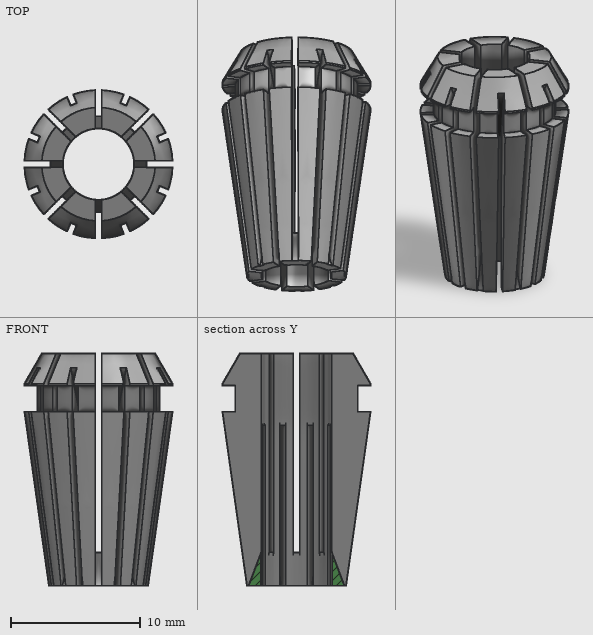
import cadquery as cq
import math

height = 18.0
outer_radius = 11.5 / 2
bore_radius = 5.5 / 2

body_height = 13.5
body_half_angle = 8.0
body_small_radius = outer_radius - body_height * math.tan(math.radians(body_half_angle))

groove_width = 2.0
neck_radius = 9.5 / 2
rim_height = 0.15
nose_half_angle = 30.0
rim_bottom_z = body_height + groove_width
rim_top_z = rim_bottom_z + rim_height
nose_slope = math.tan(math.radians(nose_half_angle))
nose_radius = outer_radius - (height - rim_top_z) * nose_slope

slots_per_end = 8
slot_width = 0.5
slot_pitch = 360.0 / slots_per_end

lower_web_height = 2.6
lower_web_radius = 3.73
upper_slot_top_z = 16.9
upper_web_radius = outer_radius - (upper_slot_top_z - rim_top_z) * nose_slope
upper_web_half_angle = 27.0
upper_web_slope = math.tan(math.radians(upper_web_half_angle))
upper_web_bottom_z = upper_slot_top_z - (upper_web_radius - bore_radius) / upper_web_slope

clearance = 1.0
cutter_radius = outer_radius + clearance


def revolve_profile(points):
    """Revolve a closed (radius, z) profile around the Z axis."""
    return cq.Workplane("XZ").polyline(points).close().revolve(360, (0, 0, 0), (0, 1, 0))


def make_blank():
    return revolve_profile([
        (bore_radius, 0),
        (body_small_radius, 0),
        (outer_radius, body_height),
        (neck_radius, body_height),
        (neck_radius, rim_bottom_z),
        (outer_radius, rim_bottom_z),
        (outer_radius, rim_top_z),
        (nose_radius, height),
        (bore_radius, height),
    ])


def make_top_slot_envelope():
    """Region swept by the slots open at the nose: everything outside the lower conical web."""
    return revolve_profile([
        (lower_web_radius, 0),
        (cutter_radius, 0),
        (cutter_radius, height),
        (0, height),
        (0, lower_web_height),
        (bore_radius, lower_web_height),
    ])


def make_bottom_slot_envelope():
    """Region swept by the slots open at the small end: everything outside the upper conical web."""
    return revolve_profile([
        (0, 0),
        (cutter_radius, 0),
        (cutter_radius, upper_slot_top_z),
        (upper_web_radius, upper_slot_top_z),
        (bore_radius, upper_web_bottom_z),
        (0, upper_web_bottom_z),
    ])


def cut_slots(part, envelope, first_angle):
    """Cut evenly spaced radial slots, each limited to the given envelope."""
    blade = (
        cq.Workplane("XY")
        .box(cutter_radius, slot_width, height, centered=(False, True, False))
    )
    for index in range(slots_per_end):
        angle = first_angle + index * slot_pitch
        slot = blade.rotate((0, 0, 0), (0, 0, 1), angle).intersect(envelope)
        part = part.cut(slot)
    return part


collet = make_blank()
collet = cut_slots(collet, make_top_slot_envelope(), 0)
collet = cut_slots(collet, make_bottom_slot_envelope(), slot_pitch / 2)

result = cq.Workplane(collet.solids().val())